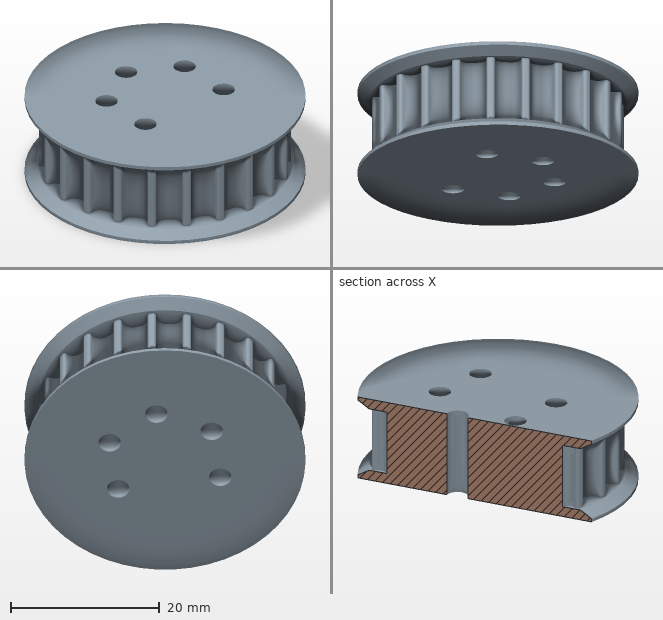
import cadquery as cq
import math

flange_diameter = 37.73
total_height = 12.0

rim_height = 0.5
cone_height = 1.0
cone_inset = 1.5

tooth_count = 22
tip_radius = 16.95
groove_half_width = 1.77
groove_corner_radius = 1.4
tip_fillet_radius = 0.4
first_groove_angle = -90.0

hole_diameter = 3.0
hole_circle_radius = 8.0
hole_places = 6
hole_count = 5
first_hole_angle = 41.5

flange_radius = flange_diameter / 2
flange_height = rim_height + cone_height
belt_width = total_height - 2 * flange_height
tooth_pitch = 360.0 / tooth_count
hole_pitch = 360.0 / hole_places

fillet_side = groove_half_width + tip_fillet_radius
fillet_out = math.sqrt((tip_radius - tip_fillet_radius) ** 2 - fillet_side**2)
fillet_end_angle = math.asin(fillet_side / (tip_radius - tip_fillet_radius))
corner_side = groove_half_width - groove_corner_radius
root_out = fillet_out - groove_corner_radius


def point_on_arc(center_out, center_side, radius, angle):
    """Point at an angle (radians, from the outward direction) on an arc of the groove."""
    return (center_out + radius * math.cos(angle), center_side + radius * math.sin(angle))


root_end = (root_out, corner_side)
corner_mid = point_on_arc(fillet_out, corner_side, groove_corner_radius, math.radians(135))
wall_point = (fillet_out, groove_half_width)
fillet_mid_angle = (fillet_end_angle - math.pi / 2) / 2
fillet_mid = point_on_arc(fillet_out, fillet_side, tip_fillet_radius, fillet_mid_angle)
tip_start = point_on_arc(0, 0, tip_radius, fillet_end_angle)


def groove_point(point, groove_angle, mirrored=False):
    """Turn a groove point to its place around the pulley, optionally on the other side."""
    out, side = point
    if mirrored:
        side = -side
    turn = math.radians(groove_angle)
    return (
        out * math.cos(turn) - side * math.sin(turn),
        out * math.sin(turn) + side * math.cos(turn),
    )


def toothed_core():
    """Belt section: rounded grooves joined by short tip arcs."""
    outline = cq.Workplane("XY").workplane(offset=flange_height)
    outline = outline.moveTo(*groove_point(tip_start, first_groove_angle, mirrored=True))
    for index in range(tooth_count):
        angle = first_groove_angle + index * tooth_pitch
        next_angle = angle + tooth_pitch
        tip_mid = groove_point((tip_radius, 0), angle + tooth_pitch / 2)
        outline = (
            outline.threePointArc(
                groove_point(fillet_mid, angle, mirrored=True),
                groove_point(wall_point, angle, mirrored=True),
            )
            .threePointArc(
                groove_point(corner_mid, angle, mirrored=True),
                groove_point(root_end, angle, mirrored=True),
            )
            .lineTo(*groove_point(root_end, angle))
            .threePointArc(groove_point(corner_mid, angle), groove_point(wall_point, angle))
            .threePointArc(groove_point(fillet_mid, angle), groove_point(tip_start, angle))
            .threePointArc(tip_mid, groove_point(tip_start, next_angle, mirrored=True))
        )
    return outline.close().extrude(belt_width)


def bottom_flange():
    """Flange standing on Z = 0, with its cone facing up."""
    half_section = [
        (0, 0),
        (flange_radius, 0),
        (flange_radius, rim_height),
        (flange_radius - cone_inset, flange_height),
        (0, flange_height),
    ]
    return cq.Workplane("XZ").polyline(half_section).close().revolve(360, (0, 0), (0, 1))


def bolt_holes():
    """Cylinders that cut the holes through the full height."""
    hole_centers = []
    for index in range(hole_count):
        angle = math.radians(first_hole_angle + index * hole_pitch)
        hole_centers.append((hole_circle_radius * math.cos(angle), hole_circle_radius * math.sin(angle)))
    return cq.Workplane("XY").pushPoints(hole_centers).circle(hole_diameter / 2).extrude(total_height)


lower = bottom_flange()
upper = lower.mirror("XY").translate((0, 0, total_height))
result = toothed_core().union(lower).union(upper).cut(bolt_holes())